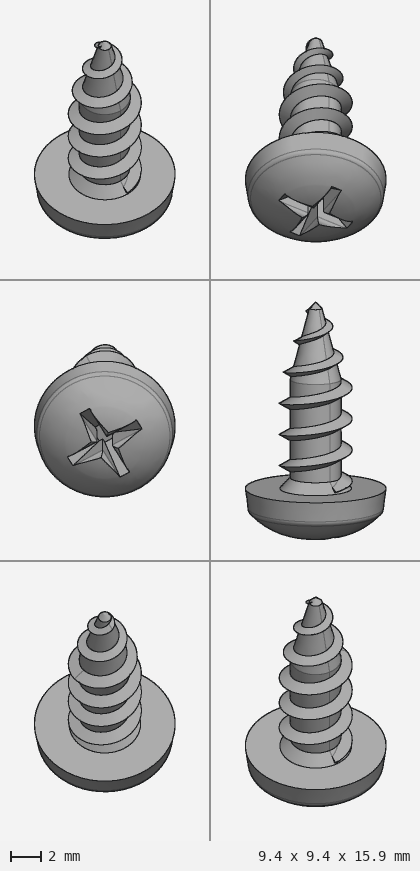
import cadquery as cq
import math

total_length = 15.92
head_height = 3.23

head_radius = 4.7
rim_bottom_radius = 4.52
rim_bottom_height = 1.9
edge_mid_radius = 4.47
edge_mid_height = 1.7
dome_radius = 4.35
dome_height = 1.56
dome_flat_radius = 0.72

wing_width = 0.73
wing_mouth_height = 0.4
wing_mouth_half_length = 2.66
wing_floor_half_length = 0.64
recess_depth = 2.23
cutter_overrun = 0.16
recess_lip = dome_flat_radius - wing_width / 2

shank_radius = 1.7
neck_radius = 2.39
neck_top = 3.96
taper_start = 10.65
point_radius = 0.43
point_start = 15.47

pitch = 2.12
thread_start = 3.39
crest_radius = 2.44
buried_radius = 1.56
flank_angle = 30.0
straight_turns = 3.25
full_turns = 5.5
fade_turns = full_turns + 0.25
tapered_crest_radius = 0.9
tapered_buried_radius = 0.35
fade_crest_radius = 0.38
fade_buried_radius = 0.19
steps_per_turn = 24

thread_stations = [
    (0, crest_radius, buried_radius),
    (straight_turns, crest_radius, buried_radius),
    (full_turns, tapered_crest_radius, tapered_buried_radius),
    (fade_turns, fade_crest_radius, fade_buried_radius),
]


def make_body():
    """Revolve the head and the pointed shank about the Z axis."""
    run = dome_radius - dome_flat_radius
    arc_radius = (run**2 + dome_height**2) / (2 * dome_height)
    half_angle = math.asin(run / arc_radius) / 2
    dome_mid = (
        dome_flat_radius + arc_radius * math.sin(half_angle),
        arc_radius * (1 - math.cos(half_angle)),
    )
    return (
        cq.Workplane("XZ")
        .moveTo(0, 0)
        .lineTo(dome_flat_radius, 0)
        .threePointArc(dome_mid, (dome_radius, dome_height))
        .threePointArc((edge_mid_radius, edge_mid_height), (rim_bottom_radius, rim_bottom_height))
        .lineTo(head_radius, head_height)
        .lineTo(neck_radius, head_height)
        .lineTo(shank_radius, neck_top)
        .lineTo(shank_radius, taper_start)
        .lineTo(point_radius, point_start)
        .lineTo(0, total_length)
        .close()
        .revolve(360, (0, 0, 0), (0, 1, 0))
    )


def make_wing():
    """Make one tapered recess wing along X, with a rounded lip at its mouth."""
    slot = (
        cq.Workplane("XZ")
        .moveTo(-wing_mouth_half_length, -cutter_overrun)
        .lineTo(wing_mouth_half_length, -cutter_overrun)
        .lineTo(wing_mouth_half_length, wing_mouth_height)
        .lineTo(wing_floor_half_length, recess_depth)
        .lineTo(-wing_floor_half_length, recess_depth)
        .lineTo(-wing_mouth_half_length, wing_mouth_height)
        .close()
        .extrude(wing_width / 2, both=True)
    )
    half_width = wing_width / 2
    lip = (
        cq.Workplane("YZ")
        .moveTo(-dome_flat_radius, -cutter_overrun)
        .lineTo(-dome_flat_radius, 0)
        .radiusArc((-half_width, recess_lip), -recess_lip)
        .lineTo(half_width, recess_lip)
        .radiusArc((dome_flat_radius, 0), -recess_lip)
        .lineTo(dome_flat_radius, -cutter_overrun)
        .close()
        .extrude(wing_mouth_half_length, both=True)
    )
    return slot.union(lip)


def spiral_edge(turns, radii, rises):
    """Join two turn counts by a spiral whose radius and rise change evenly."""
    steps = math.ceil((turns[1] - turns[0]) * steps_per_turn)
    points = []
    for step in range(steps + 1):
        share = step / steps
        turn = turns[0] + share * (turns[1] - turns[0])
        radius = radii[0] + share * (radii[1] - radii[0])
        rise = rises[0] + share * (rises[1] - rises[0])
        angle = 2 * math.pi * turn
        height = thread_start + pitch * turn + rise
        points.append(cq.Vector(radius * math.cos(angle), radius * math.sin(angle), height))
    return cq.Edge.makeSpline(points)


def section_edges(start, end):
    """Return the crest, upper root and lower root spirals between two stations."""
    turns = (start[0], end[0])
    crests = (start[1], end[1])
    roots = (start[2], end[2])
    slope = math.tan(math.radians(flank_angle))
    rises = [(crest - root) * slope for crest, root in zip(crests, roots)]
    drops = [-rise for rise in rises]
    return [
        spiral_edge(turns, crests, (0, 0)),
        spiral_edge(turns, roots, rises),
        spiral_edge(turns, roots, drops),
    ]


def end_cap(corners):
    """Close the triangular thread section at one end."""
    return cq.Face.makeFromWires(cq.Wire.makePolygon(corners, close=True))


def make_thread():
    """Build a triangular thread whose root is buried in the shank."""
    sections = [section_edges(a, b) for a, b in zip(thread_stations, thread_stations[1:])]
    faces = [
        end_cap([edge.startPoint() for edge in sections[0]]),
        end_cap([edge.endPoint() for edge in sections[-1]]),
    ]
    for edges in sections:
        for index, edge in enumerate(edges):
            faces.append(cq.Face.makeRuledSurface(edge, edges[index - 1]))
    solid = cq.Solid.makeSolid(cq.Shell.makeShell(faces))
    return cq.Workplane(solid.fix())


wing = make_wing()
recess = wing.union(wing.rotate((0, 0, 0), (0, 0, 1), 90))
result = make_body().union(make_thread()).cut(recess)